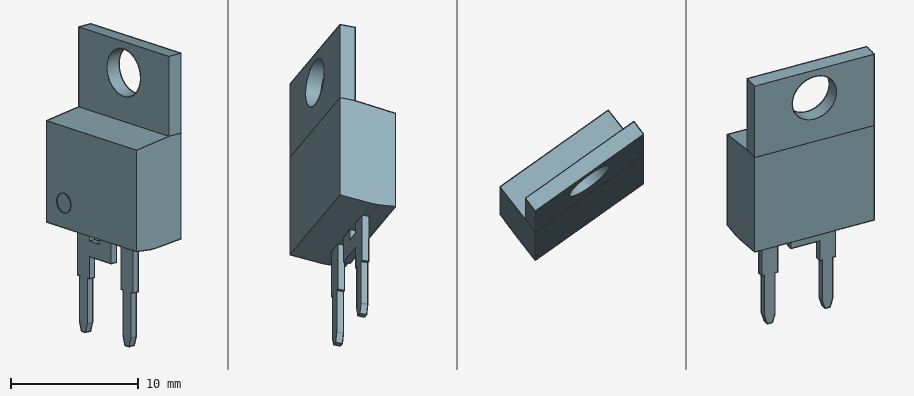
import cadquery as cq

width = 10.54
depth = 4.7
height = 24.0

tab_thickness = 1.3
tab_bottom = 17.45
hole_diameter = 3.9
hole_height = 21.45

housing_front_top = 17.02
housing_front_bottom = 8.7
housing_back_bottom = 8.75
housing_lowest = 8.55

mark_diameter = 1.6
mark_x = -3.26
mark_height = 10.7
mark_depth = 0.07

lead_pitch = 2.55
lead_thickness = 0.58
lead_back = 2.7
lead_front = lead_back + lead_thickness
lead_width = 1.4
pin_width = 0.94
tip_width = 0.45
tip_length = 0.8
shoulder_height = 4.5
bridge_bottom = 6.34
bridge_top = 7.63


def make_tab():
    """Metal plate standing on the back of the housing, with a screw hole."""
    plate = cq.Workplane("XY").box(
        width, tab_thickness, height - tab_bottom, centered=(True, False, False)
    )
    plate = plate.translate((0, -tab_thickness, tab_bottom))
    hole = (
        cq.Workplane("XZ")
        .center(0, hole_height)
        .circle(hole_diameter / 2)
        .extrude(tab_thickness)
    )
    return plate.cut(hole)


def make_housing():
    """Moulded block with a round mark, a sloping top and a flat strip under it for the leads."""
    side_outline = [
        (0, housing_back_bottom),
        (-lead_back, housing_lowest),
        (-lead_front, housing_lowest),
        (-depth, housing_front_bottom),
        (-depth, housing_front_top),
        (-tab_thickness, tab_bottom),
        (0, tab_bottom),
    ]
    block = cq.Workplane("YZ").polyline(side_outline).close().extrude(width / 2, both=True)
    mark = (
        cq.Workplane("XZ", origin=(0, mark_depth - depth, 0))
        .center(mark_x, mark_height)
        .circle(mark_diameter / 2)
        .extrude(mark_depth)
    )
    return block.cut(mark)


def lead_bar(x_left, x_right, bottom, top):
    """Rectangular piece of lead sheet between the given limits."""
    return (
        cq.Workplane("XZ", origin=(0, -lead_back, 0))
        .moveTo(x_left, bottom)
        .lineTo(x_right, bottom)
        .lineTo(x_right, top)
        .lineTo(x_left, top)
        .close()
        .extrude(lead_thickness)
    )


def make_straight_lead(x):
    """Stepped lead with a tapered tip, ending on the flat strip of the housing."""
    right_side = [
        (tip_width / 2, 0),
        (pin_width / 2, tip_length),
        (pin_width / 2, shoulder_height),
        (lead_width / 2, shoulder_height),
        (lead_width / 2, housing_lowest),
    ]
    left_side = [(-half_width, z) for half_width, z in reversed(right_side)]
    return (
        cq.Workplane("XZ", origin=(x, -lead_back, 0))
        .polyline(right_side + left_side)
        .close()
        .extrude(lead_thickness)
    )


def make_bridged_lead(x):
    """Straight lead joined by a bridge to a short stub one pitch to its right."""
    stub_x = x + lead_pitch
    stub_right = stub_x + lead_width / 2
    stub = lead_bar(stub_x - lead_width / 2, stub_right, bridge_bottom, housing_lowest)
    bridge = lead_bar(x, stub_right, bridge_bottom, bridge_top)
    return make_straight_lead(x).union(bridge).union(stub)


tab = make_tab()
housing = make_housing()
bridged_lead = make_bridged_lead(-lead_pitch)
straight_lead = make_straight_lead(lead_pitch)

result = cq.Compound.makeCompound(
    [body.solids().val() for body in (tab, housing, bridged_lead, straight_lead)]
)